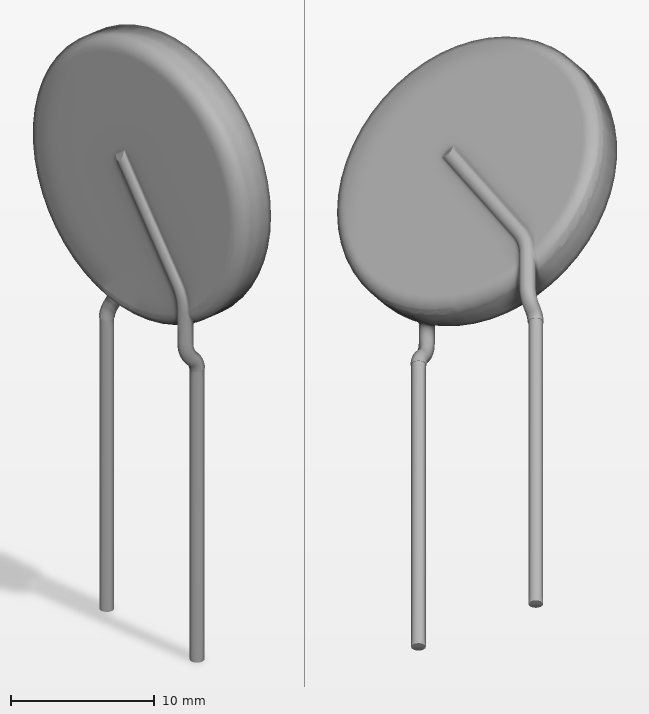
import cadquery as cq
import math

disc_diameter = 21.4
disc_thickness = 3.55
rim_fillet = 1.0

total_depth = 4.3
total_height = 46.4

sleeve_diameter = 1.1
sleeve_past_centre = 2.3
bevel_length = 0.55
sleeve_fillet = 0.15

lead_diameter = 1.0
lead_pitch = 10.0
lead_row_depth = 1.95
corner_drop = 7.1
corner_radius = 3.05
s_bend_height = 2.45
upper_bend_radius = 1.95
sleeve_end_gap = 0.15

disc_radius = disc_diameter / 2
disc_face_y = disc_thickness / 2
sleeve_radius = sleeve_diameter / 2
lead_x = lead_pitch / 2
lead_y = (lead_row_depth - lead_diameter) / 2
sleeve_y = (total_depth - sleeve_diameter) / 2
s_bend_top_z = -disc_radius
s_bend_bottom_z = s_bend_top_z - s_bend_height
sleeve_bottom_z = s_bend_bottom_z + sleeve_end_gap
lead_bottom_z = disc_radius - total_height

s_bend_shift = sleeve_y - lead_y
s_bend_angle = 2 * math.atan2(s_bend_shift, s_bend_height)
lower_bend_radius = s_bend_height / math.sin(s_bend_angle) - upper_bend_radius

slant_angle = math.atan2(lead_x, corner_drop)
slant_x = math.sin(slant_angle)
slant_z = math.cos(slant_angle)
corner_length = corner_radius * math.tan(slant_angle / 2)
slant_start = corner_length - math.hypot(lead_x, corner_drop)


def slant_point(distance, y):
    """Point on the slanted line, at a distance beyond the disc axis."""
    return cq.Vector(-distance * slant_x, y, distance * slant_z)


def bent_rod(diameter, tip_distance):
    """Round rod along the front right lead, from its lower end to its tip."""
    foot = cq.Vector(lead_x, -lead_y, lead_bottom_z)
    s_bend_bottom = cq.Vector(lead_x, -lead_y, s_bend_bottom_z)
    bend_joint = cq.Vector(
        lead_x,
        -lead_y - lower_bend_radius * (1 - math.cos(s_bend_angle)),
        s_bend_bottom_z + lower_bend_radius * math.sin(s_bend_angle),
    )
    s_bend_top = cq.Vector(lead_x, -sleeve_y, s_bend_top_z)

    corner_start = cq.Vector(lead_x, -sleeve_y, -corner_drop - corner_length)
    corner_end = slant_point(slant_start, -sleeve_y)
    tip = slant_point(tip_distance, -sleeve_y)

    up = cq.Vector(0, 0, 1)
    leaning = cq.Vector(0, -math.sin(s_bend_angle), math.cos(s_bend_angle))
    path = cq.Wire.assembleEdges([
        cq.Edge.makeLine(foot, s_bend_bottom),
        cq.Edge.makeTangentArc(s_bend_bottom, up, bend_joint),
        cq.Edge.makeTangentArc(bend_joint, leaning, s_bend_top),
        cq.Edge.makeLine(s_bend_top, corner_start),
        cq.Edge.makeTangentArc(corner_start, up, corner_end),
        cq.Edge.makeLine(corner_end, tip),
    ])
    return (
        cq.Workplane("XY", origin=foot.toTuple())
        .circle(diameter / 2)
        .sweep(cq.Workplane(path))
    )


def bevel_wedge():
    """Wedge that slopes the end of the front sleeve down to the disc face."""
    rise = total_depth / 2 - disc_face_y
    wedge_plane = cq.Plane(
        origin=slant_point(sleeve_past_centre, -disc_face_y).toTuple(),
        xDir=(-slant_x, 0, slant_z),
        normal=(slant_z, 0, slant_x),
    )
    return (
        cq.Workplane(wedge_plane)
        .moveTo(0, 0)
        .lineTo(-bevel_length, rise)
        .lineTo(0, rise)
        .close()
        .extrude(sleeve_radius, both=True)
    )


def make_sleeve():
    """Front right sleeve, with a level lower end and a bevelled tip."""
    bare_height = sleeve_bottom_z - lead_bottom_z
    bare_stretch = (
        cq.Workplane("XY", origin=(lead_x, -lead_y, lead_bottom_z))
        .circle(sleeve_diameter)
        .extrude(bare_height)
    )
    rod = bent_rod(sleeve_diameter, sleeve_past_centre)
    return rod.cut(bare_stretch).cut(bevel_wedge())


def make_lead():
    """Front right lead; it ends inside the sleeve where the bevel begins."""
    return bent_rod(lead_diameter, sleeve_past_centre - bevel_length)


def half_turn(body):
    """The body turned half round about Z."""
    return body.rotate((0, 0, 0), (0, 0, 1), 180)


def make_coating(leads):
    """Disc with rounded rims, a blended-in sleeve on each face and a bore for each lead."""
    coating = (
        cq.Workplane("XZ", origin=(0, disc_face_y, 0))
        .circle(disc_radius)
        .extrude(disc_thickness)
        .edges("%CIRCLE")
        .fillet(rim_fillet)
    )

    seam_end = slant_point(sleeve_past_centre, -disc_face_y)
    slant_middle = slant_point((sleeve_past_centre + slant_start) / 2, -disc_face_y)
    seam_side = slant_middle + cq.Vector(slant_z, 0, slant_x) * sleeve_radius
    seam = (
        cq.NearestToPointSelector(seam_end.toTuple())
        + cq.NearestToPointSelector(seam_side.toTuple())
    )

    sleeve = make_sleeve()
    for _ in leads:
        coating = coating.union(sleeve).edges(seam).fillet(sleeve_fillet)
        coating = half_turn(coating)

    for lead in leads:
        coating = coating.cut(lead)
    return coating


front_lead = make_lead()
leads = [front_lead, half_turn(front_lead)]
coating = make_coating(leads)

result = cq.Compound.makeCompound([coating.solids().val(), *[lead.val() for lead in leads]])